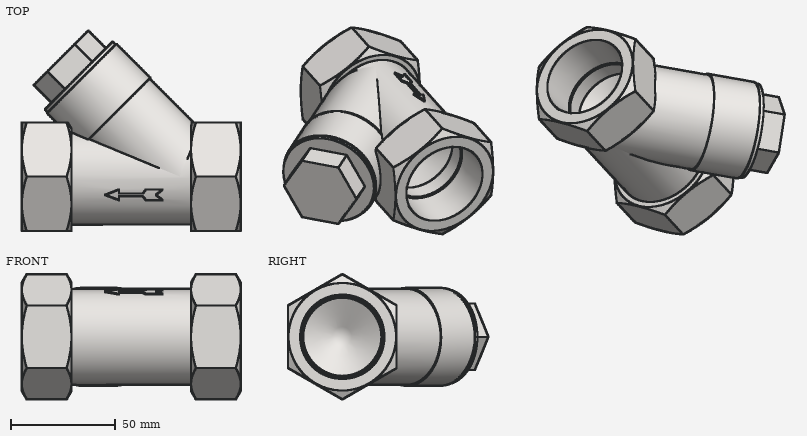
import cadquery as cq
import math


hexagon_half_angle = 30.0

run_length = 105.0
body_radius = 23.0

end_hex_flats = 52.0
end_hex_length = 24.0
end_face_radius = 25.75
end_chamfer_angle = 30.0

bore_mouth_radius = 20.2
bore_depth = 21.0
bore_taper = 1 / 32
passage_radius = 18.7
passage_depth = 30.0
cone_tip_angle = 118.0

branch_angle = 135.0
branch_start_x = 23.3
branch_neck_length = 43.5
collar_radius = 23.5
collar_length = 23.0

flange_radius = 23.0
flange_thickness = 2.0
plug_hex_flats = 32.0
plug_hex_height = 12.0

arrow_tilt = 22.0
arrow_height = 0.5
arrow_tip_x = -12.5
arrow_length = 27.5
arrow_width = 5.5
arrow_shaft_width = 1.5
arrow_head_length = 6.6
arrow_shaft_end = 18.0
arrow_tail_start = 19.5
arrow_notch_depth = 3.2


def across_corners(flats):
    """Corner-to-corner size of a regular hexagon."""
    return flats / math.cos(math.radians(hexagon_half_angle))


def revolve_about_x(points):
    """Solid of revolution about the X axis from an (x, radius) outline."""
    return cq.Workplane("XY").polyline(points).close().revolve(360, (0, 0, 0), (1, 0, 0))


def make_end_hex():
    """Hexagonal end at -X, with its corners chamfered on both faces."""
    outer = -run_length / 2
    inner = outer + end_hex_length
    corner_radius = across_corners(end_hex_flats) / 2
    chamfer = (corner_radius - end_face_radius) * math.tan(math.radians(end_chamfer_angle))
    prism = (
        cq.Workplane("YZ", origin=(outer, 0, 0))
        .polygon(6, 2 * corner_radius)
        .extrude(end_hex_length)
        .rotate((0, 0, 0), (1, 0, 0), hexagon_half_angle)
    )
    envelope = revolve_about_x([
        (outer, 0),
        (outer, end_face_radius),
        (outer + chamfer, corner_radius),
        (inner - chamfer, corner_radius),
        (inner, end_face_radius),
        (inner, 0),
    ])
    return prism.intersect(envelope)


def make_end_bore():
    """Tapered bore at -X, stepping in at a shoulder to a blind passage with a conical bottom."""
    outer = -run_length / 2
    shoulder = outer + bore_depth
    cone_start = outer + passage_depth
    cone_depth = passage_radius / math.tan(math.radians(cone_tip_angle / 2))
    return revolve_about_x([
        (outer, 0),
        (outer, bore_mouth_radius),
        (shoulder, bore_mouth_radius - bore_depth * bore_taper),
        (shoulder, passage_radius),
        (cone_start, passage_radius),
        (cone_start + cone_depth, 0),
    ])


def both_ends(feature):
    """The feature at -X together with its mirror image at +X."""
    return [feature, feature.mirror("YZ")]


def make_branch():
    """Inclined neck, collar, plug flange and plug hexagon stacked along the branch axis."""
    angle = math.radians(branch_angle)
    axis_plane = cq.Plane(
        origin=(branch_start_x, 0, 0),
        xDir=(0, 0, 1),
        normal=(math.cos(angle), math.sin(angle), 0),
    )
    collar_start = branch_neck_length
    flange_start = collar_start + collar_length
    hex_start = flange_start + flange_thickness
    base = cq.Workplane(axis_plane)
    neck = base.circle(body_radius).extrude(collar_start)
    collar = base.workplane(offset=collar_start).circle(collar_radius).extrude(collar_length)
    flange = base.workplane(offset=flange_start).circle(flange_radius).extrude(flange_thickness)
    plug_hex = (
        cq.Workplane("XY")
        .polygon(6, across_corners(plug_hex_flats))
        .extrude(plug_hex_height)
        .rotate((0, 0, 0), (0, 0, 1), hexagon_half_angle)
        .translate((0, 0, hex_start))
    )
    plug_hex = cq.Workplane(plug_hex.val().moved(cq.Location(axis_plane)))
    return neck.union(collar).union(flange).union(plug_hex)


def make_arrow():
    """Flow arrow raised evenly from the run's cylindrical surface."""
    half_width = arrow_width / 2
    half_shaft = arrow_shaft_width / 2
    upper = [
        (arrow_head_length, half_width),
        (arrow_head_length, half_shaft),
        (arrow_shaft_end, half_shaft),
        (arrow_tail_start, half_width),
        (arrow_length, half_width),
    ]
    notch = (arrow_length - arrow_notch_depth, 0)
    lower = [(x, -y) for x, y in reversed(upper)]
    raised_radius = body_radius + arrow_height
    prism = (
        cq.Workplane("XY")
        .polyline([(0, 0), *upper, notch, *lower])
        .close()
        .extrude(raised_radius)
        .translate((arrow_tip_x, 0, 0))
        .rotate((0, 0, 0), (1, 0, 0), arrow_tilt)
    )
    skin = cq.Workplane("YZ").circle(raised_radius).extrude(run_length / 2, both=True)
    return prism.intersect(skin)


result = cq.Workplane("YZ").circle(body_radius).extrude(run_length / 2, both=True)
for end_hex in both_ends(make_end_hex()):
    result = result.union(end_hex)
result = result.union(make_branch()).union(make_arrow())
for end_bore in both_ends(make_end_bore()):
    result = result.cut(end_bore)